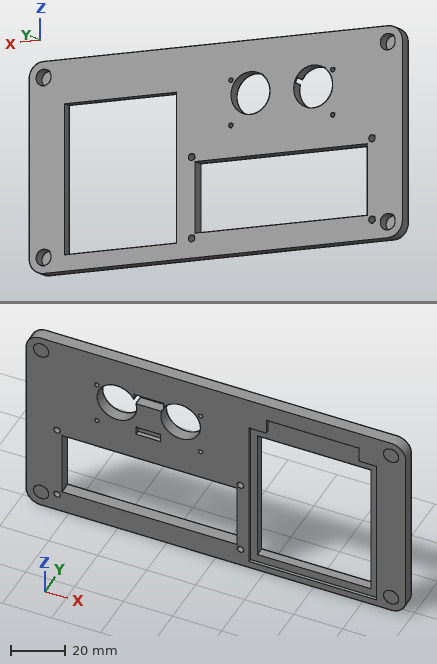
import cadquery as cq

length = 155.0
height = 80.0
thickness = 5.0
corner_radius = 6.0

display_window_x = -27.1
display_window_z = -17.2
display_window_size = (71.5, 27.0)
display_screws_x = -27.5
display_screws_z = -17.2
display_screw_spacing = (74.9, 30.7)
display_screw_diameter = 2.6

sensor_x = -27.5
sensor_eye_z = 20.0
sensor_eye_spacing = 26.0
sensor_eye_diameter = 16.1
sensor_screws_z = 17.0
sensor_screw_spacing = (42.3, 17.0)
sensor_screw_diameter = 1.7
upper_relief_x = sensor_x
upper_relief_z = 24.3
upper_relief_size = (12.1, 4.2)
upper_relief_depth = 4.0
lower_relief_x = -27.6
lower_relief_z = 9.3
lower_relief_size = (10.0, 3.4)
lower_relief_depth = 1.9

panel_x = 39.5
panel_recess_z = -5.1
panel_recess_size = (52.0, 64.0)
panel_recess_depth = 1.2
panel_tab_width = 37.8
panel_tab_height = 6.2
panel_window_z = -5.3
panel_window_size = (46.3, 56.9)

back_pocket_diameter = 6.2
back_pocket_skin = 0.2


def front_plane(depth=0.0):
    """Workplane parallel to the front face and facing -Y, at the given depth behind it."""
    return cq.Workplane("XZ", origin=(0, depth, 0))


def box_cut(x, z, size, depth):
    """Rectangular cutter entering from the front face."""
    return front_plane().center(x, z).rect(*size).extrude(-depth)


def round_cuts(x, z, spacing, diameter, start=0.0):
    """Four round cutters on a rectangular pattern, running from the start depth to the back."""
    pattern = front_plane(start).center(x, z).rect(*spacing, forConstruction=True).vertices()
    return pattern.circle(diameter / 2).extrude(start - thickness)


def make_plate():
    blank = front_plane().rect(length, height).extrude(-thickness)
    return blank.edges("|Y").fillet(corner_radius)


def cut_display(body):
    body = body.cut(box_cut(display_window_x, display_window_z, display_window_size, thickness))
    return body.cut(
        round_cuts(display_screws_x, display_screws_z, display_screw_spacing, display_screw_diameter)
    )


def cut_sensor(body):
    for side in (-1, 1):
        eye_x = sensor_x + side * sensor_eye_spacing / 2
        eye = front_plane().center(eye_x, sensor_eye_z).circle(sensor_eye_diameter / 2)
        body = body.cut(eye.extrude(-thickness))
    body = body.cut(round_cuts(sensor_x, sensor_screws_z, sensor_screw_spacing, sensor_screw_diameter))
    upper_relief = box_cut(upper_relief_x, upper_relief_z, upper_relief_size, upper_relief_depth)
    lower_relief = box_cut(lower_relief_x, lower_relief_z, lower_relief_size, lower_relief_depth)
    return body.cut(upper_relief).cut(lower_relief)


def cut_panel(body):
    recess_top = panel_recess_z + panel_recess_size[1] / 2
    tab_z = recess_top + panel_tab_height / 2
    tab_size = (panel_tab_width, panel_tab_height)
    body = body.cut(box_cut(panel_x, panel_recess_z, panel_recess_size, panel_recess_depth))
    body = body.cut(box_cut(panel_x, tab_z, tab_size, panel_recess_depth))
    return body.cut(box_cut(panel_x, panel_window_z, panel_window_size, thickness))


def cut_back_pockets(body):
    spacing = (length - 2 * corner_radius, height - 2 * corner_radius)
    return body.cut(round_cuts(0, 0, spacing, back_pocket_diameter, back_pocket_skin))


result = make_plate()
result = cut_display(result)
result = cut_sensor(result)
result = cut_panel(result)
result = cut_back_pockets(result)